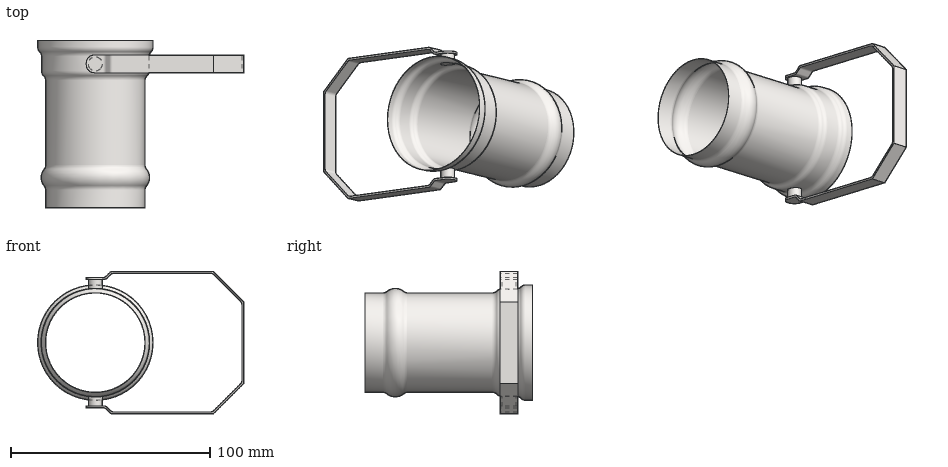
import cadquery as cq
import math

tube_length = 84.0
wall = 0.1
mouth_radius = 58 / 2
seat_radius = 54.0 / 2
pipe_radius = 50.0 / 2
mouth_land = 3.5
seat_start = 8.1
seat_length = 7.5
bend_radius = 3.1
bend_angle = math.radians(45)

bead_center = 68.8
bead_height = 2.3
bead_half_width = 6.1
bead_crown_half_width = 4.2

strap_width = 8.9
strap_thickness = 1.0
handle_reach = 74.5
handle_half_height = 71.5 / 2
corner_cut = 15.3
joggle_height = 3.0
joggle_start = 4.9
joggle_bend_radius = 2.0
grip_corner_radius = 2.1
strap_tip = 4.6
tip_corner_radius = 4.0
pivot_diameter = 7.0
pivot_y = -(seat_start + seat_length / 2)


def add_step(profile, start, from_radius, to_radius, offset):
    """Add a 45 degree reducing step: convex bend, short cone, concave bend."""
    convex = bend_radius - offset
    concave = bend_radius + offset
    half = bend_angle / 2
    rise = 1 - math.cos(bend_angle)
    cone_drop = from_radius - to_radius - 2 * bend_radius * rise
    cone_length = cone_drop / math.tan(bend_angle)
    end = start + 2 * bend_radius * math.sin(bend_angle) + cone_length
    outer = from_radius - offset
    inner = to_radius - offset
    return (
        profile.lineTo(outer, -start)
        .threePointArc(
            (outer - convex * (1 - math.cos(half)), -start - convex * math.sin(half)),
            (outer - convex * rise, -start - convex * math.sin(bend_angle)),
        )
        .lineTo(inner + concave * rise, -end + concave * math.sin(bend_angle))
        .threePointArc(
            (inner + concave * (1 - math.cos(half)), -end + concave * math.sin(half)),
            (inner, -end),
        )
    )


def add_bead(profile, offset):
    """Add a bead made of a crown arc blended into the pipe by two tangent arcs."""
    angle = 2 * math.atan(bead_height / bead_half_width)
    crown = bead_crown_half_width / math.sin(angle) - offset
    blend = (bead_half_width - bead_crown_half_width) / math.sin(angle) + offset
    base = pipe_radius - offset
    joint_radius = base + blend * (1 - math.cos(angle))
    middle_radius = base + blend * (1 - math.cos(angle / 2))
    joint = crown * math.sin(angle)
    middle = bead_half_width - blend * math.sin(angle / 2)
    return (
        profile.lineTo(base, -bead_center + bead_half_width)
        .threePointArc((middle_radius, -bead_center + middle), (joint_radius, -bead_center + joint))
        .threePointArc((base + bead_height, -bead_center), (joint_radius, -bead_center - joint))
        .threePointArc((middle_radius, -bead_center - middle), (base, -bead_center - bead_half_width))
    )


def tube_core(offset):
    """Solid of revolution bounded by the tube surface moved inwards by offset."""
    profile = cq.Workplane("XY").lineTo(mouth_radius - offset, 0)
    profile = add_step(profile, mouth_land, mouth_radius, seat_radius, offset)
    profile = add_step(profile, seat_start + seat_length, seat_radius, pipe_radius, offset)
    profile = add_bead(profile, offset)
    profile = profile.lineTo(pipe_radius - offset, -tube_length).lineTo(0, -tube_length).close()
    return profile.revolve(360, (0, 0, 0), (0, 1, 0))


def strap_outline(inset):
    """Corner points of one strap face, moved inwards from the outer face by inset."""
    miter = inset * math.tan(bend_angle / 2)
    tip_z = handle_half_height - joggle_height - inset
    side_z = handle_half_height - inset
    upper = [
        (-strap_tip, tip_z),
        (joggle_start + miter, tip_z),
        (joggle_start + joggle_height + miter, side_z),
        (handle_reach - corner_cut - miter, side_z),
        (handle_reach - inset, handle_half_height - corner_cut - miter),
    ]
    return upper + [(x, -z) for x, z in reversed(upper)]


def round_bend(strap, x, z, radius):
    """Round the bend edge at (x, z) and its mirror image at (x, -z)."""
    for side in (1, -1):
        edge = cq.selectors.NearestToPointSelector((x, pivot_y, side * z))
        strap = strap.edges("|Y").edges(edge).fillet(radius)
    return strap


def make_strap():
    """Bent strap with rounded joggle bends, inner grip corners and tips."""
    outer = strap_outline(0)
    inner = strap_outline(strap_thickness)
    strap = (
        cq.Workplane("XZ", origin=(0, pivot_y, 0))
        .polyline(outer + inner[::-1])
        .close()
        .extrude(strap_width / 2, both=True)
    )
    for corner in outer[1:3] + inner[1:3]:
        strap = round_bend(strap, *corner, joggle_bend_radius)
    for corner in inner[3:5]:
        strap = round_bend(strap, *corner, grip_corner_radius)
    return strap.edges("|Z").edges("<X").fillet(tip_corner_radius)


def make_handle(tube_envelope):
    """Strap with a pivot stub under each tip, shaped to rest on the tube."""
    pivots = (
        cq.Workplane("XY", origin=(0, pivot_y, 0))
        .circle(pivot_diameter / 2)
        .extrude(handle_half_height - joggle_height - strap_thickness, both=True)
        .cut(tube_envelope)
    )
    return make_strap().union(pivots)


tube_envelope = tube_core(0)
tube = tube_envelope.cut(tube_core(wall))
handle = make_handle(tube_envelope)

result = cq.Compound.makeCompound([tube.val(), handle.val()])